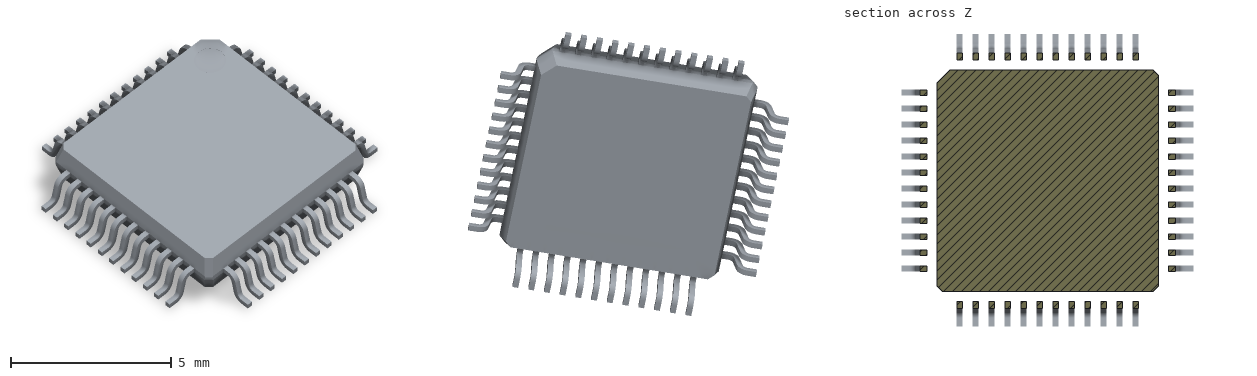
import cadquery as cq
import math

overall_height = 1.63
lead_span = 9.14

body_width = 6.96
body_height = 1.4
body_inset = 0.165
corner_chamfer = 0.17
chamfer_inset = 0.24
pin_one_chamfer = 0.41
ridge_half_height = 0.065
ridge_depth = 0.01

mark_radius = 0.5
mark_edge_distance = 0.98
mark_depth = 0.005

leads_per_side = 12
lead_pitch = 0.5
lead_width = 0.18
lead_thickness = 0.18
lead_shoulder = 0.2
lead_embed = 0.2
inner_bend_radius = 0.17
bend_angle = math.radians(77)

body_half = body_width / 2
body_bottom = overall_height - body_height
body_middle = body_bottom + body_height / 2
lead_top = body_middle + lead_thickness / 2
lead_underside = lead_top - lead_thickness


def tapered_slab():
    """Body flanks leaning in above and below a vertical band as tall as a lead is thick."""
    end_half = body_half - body_inset
    flank = [
        (-end_half, body_bottom),
        (end_half, body_bottom),
        (body_half, lead_underside),
        (body_half, lead_top),
        (end_half, overall_height),
        (-end_half, overall_height),
        (-body_half, lead_top),
        (-body_half, lead_underside),
    ]
    along_y = cq.Workplane("XZ").polyline(flank).close().extrude(body_half, both=True)
    along_x = cq.Workplane("YZ").polyline(flank).close().extrude(body_half, both=True)
    return along_y.intersect(along_x)


def corner_cutter(chamfer, direction):
    """Material outside one chamfered corner; direction is the corner's angle in degrees."""
    rim = body_half * math.sqrt(2) - chamfer / math.sqrt(2)
    end = rim - chamfer_inset
    outside = body_width
    profile = [
        (outside, body_bottom),
        (end, body_bottom),
        (rim, body_middle - ridge_half_height),
        (rim + ridge_depth, body_middle),
        (rim, body_middle + ridge_half_height),
        (end, overall_height),
        (outside, overall_height),
    ]
    cutter = cq.Workplane("XZ").polyline(profile).close().extrude(body_half, both=True)
    return cutter.rotate((0, 0, 0), (0, 0, 1), direction)


def pin_one_mark():
    """Very shallow round mark in the top face beside the large corner chamfer."""
    offset = body_half - mark_edge_distance
    return (
        cq.Workplane("XY", origin=(-offset, offset, overall_height - mark_depth))
        .circle(mark_radius)
        .extrude(mark_depth)
    )


def make_body():
    body = tapered_slab()
    pin_one_direction = 135
    for direction in (45, 135, 225, 315):
        chamfer = pin_one_chamfer if direction == pin_one_direction else corner_chamfer
        body = body.cut(corner_cutter(chamfer, direction))
    return body.cut(pin_one_mark())


def lead_profile():
    """Side outline of a lead pointing along +X, with its foot resting on Z = 0."""
    outer_radius = inner_bend_radius + lead_thickness
    sine = math.sin(bend_angle)
    cosine = math.cos(bend_angle)
    radius_sum = outer_radius + inner_bend_radius
    web_length = (lead_top - 2 * outer_radius + radius_sum * cosine) / sine

    upper_x = body_half + lead_shoulder
    upper_z = lead_top - outer_radius
    lower_x = upper_x + radius_sum * sine + web_length * cosine
    lower_z = outer_radius
    root_x = body_half - lead_embed
    toe_x = lead_span / 2

    def on_upper_bend(radius, angle):
        return (upper_x + radius * math.sin(angle), upper_z + radius * math.cos(angle))

    def on_lower_bend(radius, angle):
        return (lower_x - radius * math.sin(angle), lower_z - radius * math.cos(angle))

    half_angle = bend_angle / 2
    return (
        cq.Workplane("XZ")
        .moveTo(root_x, lead_top)
        .lineTo(upper_x, lead_top)
        .threePointArc(on_upper_bend(outer_radius, half_angle), on_upper_bend(outer_radius, bend_angle))
        .lineTo(*on_lower_bend(inner_bend_radius, bend_angle))
        .threePointArc(on_lower_bend(inner_bend_radius, half_angle), on_lower_bend(inner_bend_radius, 0))
        .lineTo(toe_x, lead_thickness)
        .lineTo(toe_x, 0)
        .lineTo(lower_x, 0)
        .threePointArc(on_lower_bend(outer_radius, half_angle), on_lower_bend(outer_radius, bend_angle))
        .lineTo(*on_upper_bend(inner_bend_radius, bend_angle))
        .threePointArc(on_upper_bend(inner_bend_radius, half_angle), on_upper_bend(inner_bend_radius, 0))
        .lineTo(root_x, lead_underside)
        .close()
    )


def add_leads(body):
    """Fuse an evenly pitched row of leads to each of the four sides."""
    lead = lead_profile().extrude(lead_width / 2, both=True)
    first_lead = -lead_pitch * (leads_per_side - 1) / 2
    for direction in (0, 90, 180, 270):
        for index in range(leads_per_side):
            placed = lead.translate((0, first_lead + index * lead_pitch, 0))
            body = body.union(placed.rotate((0, 0, 0), (0, 0, 1), direction))
    return body


result = add_leads(make_body())